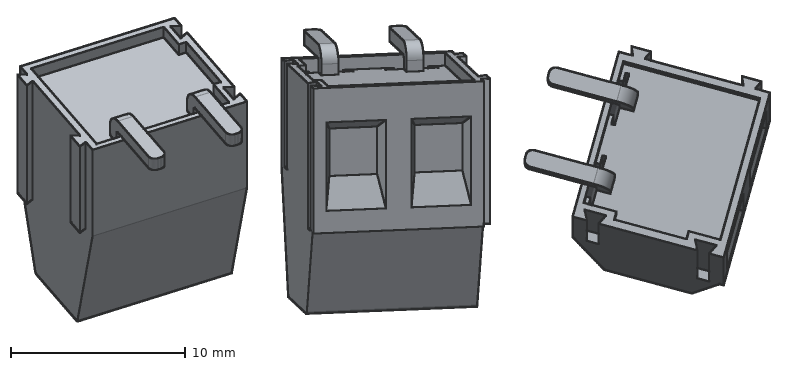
import cadquery as cq
import math

housing_depth = 9.0
housing_width = 10.0
housing_height = 13.6
front_bottom = 5.1
front_step = 0.25
back_bottom = 7.4
base_front = 1.9
base_back = 7.1
base_front_radius = 0.2

pocket_depth = 0.75
pocket_wall = 0.47
pocket_back_wall = 0.4
pocket_far_wall = 0.95
recess_front = 2.35
recess_back = 6.65
recess_wall = pocket_wall

pole_pitch = 5.0
pole_centers = [housing_width / 2 - pole_pitch / 2, housing_width / 2 + pole_pitch / 2]

opening_width = 3.5
opening_bottom = 6.4
opening_top = 11.58
opening_floor_width = 2.8
opening_floor_bottom = 8.27
opening_floor_top = 11.05
opening_depth = 0.8

pin_width = 1.0
pin_thickness = 0.82
pin_top = 14.5
pin_tip = 12.5
pin_front = 7.3
pin_bend_radius = 1.0
pin_tip_radius = 0.4
pin_embedded_length = 1.0
pin_root = housing_height - pocket_depth - pin_embedded_length

slot_front = pin_front + pin_thickness
slot_wide_back = housing_depth - pocket_back_wall
slot_narrow_back = 8.33
slot_wide_width = 2.05
slot_narrow_width = 3.1
slot_taper_wall = 0.4

rib_positions = [(1.22, front_bottom), (7.8, back_bottom)]
rib_height = 0.5
rib_root_width = 0.7
rib_tip_width = 1.17
groove_depth = 0.58
groove_floor_width = 1.27


def box(x_range, y_range, z_range):
    """Axis-aligned block between two limits on each axis."""
    size = [high - low for low, high in (x_range, y_range, z_range)]
    corner = (x_range[0], y_range[0], z_range[0])
    return cq.Workplane("XY").box(*size, centered=False).translate(corner)


def make_housing():
    """Side outline extruded across the width, with the lower front edge rounded."""
    outline = [
        (0, housing_height),
        (0, front_bottom),
        (front_step, front_bottom),
        (base_front, 0),
        (base_back, 0),
        (housing_depth, back_bottom),
        (housing_depth, housing_height),
    ]
    block = cq.Workplane("XZ").polyline(outline).close().extrude(-housing_width)
    base_front_edge = block.faces("<Z").edges("<X")
    return base_front_edge.fillet(base_front_radius)


def make_pocket():
    """Top pocket with a wider stretch along the +Y wall."""
    z_range = (housing_height - pocket_depth, housing_height)
    main = box(
        (pocket_wall, housing_depth - pocket_back_wall),
        (pocket_wall, housing_width - pocket_far_wall),
        z_range,
    )
    recess = box(
        (recess_front, recess_back),
        (pocket_wall, housing_width - recess_wall),
        z_range,
    )
    return main.union(recess)


def make_opening(center_y):
    """Tapered wire opening in the -X face."""
    mouth_height = opening_top - opening_bottom
    floor_height = opening_floor_top - opening_floor_bottom
    mouth_middle = opening_bottom + mouth_height / 2
    floor_middle = opening_floor_bottom + floor_height / 2
    return (
        cq.Workplane("YZ")
        .center(center_y, mouth_middle)
        .rect(opening_width, mouth_height)
        .workplane(offset=opening_depth)
        .center(0, floor_middle - mouth_middle)
        .rect(opening_floor_width, floor_height)
        .loft(ruled=True)
    )


def make_slot(center_y):
    """T-shaped slot in the pocket floor, its own floor parallel to the rear taper."""
    floor = housing_height - pocket_depth
    z_range = (0, floor)
    wide = box(
        (slot_front, slot_wide_back),
        (center_y - slot_wide_width / 2, center_y + slot_wide_width / 2),
        z_range,
    )
    narrow = box(
        (slot_front, slot_narrow_back),
        (center_y - slot_narrow_width / 2, center_y + slot_narrow_width / 2),
        z_range,
    )
    floor_limit = (
        cq.Workplane("XZ")
        .moveTo(base_back - slot_taper_wall, 0)
        .lineTo(housing_depth - slot_taper_wall, back_bottom)
        .lineTo(housing_depth, floor)
        .lineTo(0, floor)
        .lineTo(0, 0)
        .close()
        .extrude(-housing_width)
    )
    return wide.union(narrow).intersect(floor_limit)


def make_pin(center_y):
    """L-shaped pin: a leg rising from the pocket floor, bent toward +X."""
    bend_center = (pin_front + pin_bend_radius, pin_top - pin_bend_radius)
    inner_radius = pin_bend_radius - pin_thickness
    diagonal = math.sqrt(0.5)

    def bend_point(radius):
        return (bend_center[0] - radius * diagonal, bend_center[1] + radius * diagonal)

    return (
        cq.Workplane("XZ", origin=(0, center_y, 0))
        .moveTo(pin_front, pin_root)
        .lineTo(pin_front, bend_center[1])
        .threePointArc(bend_point(pin_bend_radius), (bend_center[0], pin_top))
        .lineTo(pin_tip, pin_top)
        .lineTo(pin_tip, pin_top - pin_thickness)
        .lineTo(bend_center[0], pin_top - pin_thickness)
        .threePointArc(bend_point(inner_radius), (pin_front + pin_thickness, bend_center[1]))
        .lineTo(pin_front + pin_thickness, pin_root)
        .close()
        .extrude(pin_width / 2, both=True)
        .edges("|Z and >X")
        .fillet(pin_tip_radius)
    )


def make_dovetail(center_x, bottom, mouth_y, depth, mouth_width, wide_width):
    """Vertical dovetail bar widening from mouth_y toward mouth_y - depth."""
    outline = [
        (center_x - mouth_width / 2, mouth_y),
        (center_x - wide_width / 2, mouth_y - depth),
        (center_x + wide_width / 2, mouth_y - depth),
        (center_x + mouth_width / 2, mouth_y),
    ]
    bar = cq.Workplane("XY", origin=(0, 0, bottom)).polyline(outline).close()
    return bar.extrude(housing_height - bottom)


result = make_housing().cut(make_pocket())

for rib_x, rib_bottom in rib_positions:
    rib = make_dovetail(rib_x, rib_bottom, 0, rib_height, rib_root_width, rib_tip_width)
    groove = make_dovetail(
        rib_x, rib_bottom, housing_width, groove_depth, rib_root_width, groove_floor_width
    )
    result = result.union(rib).cut(groove)

for pole_y in pole_centers:
    result = result.cut(make_opening(pole_y)).cut(make_slot(pole_y)).union(make_pin(pole_y))